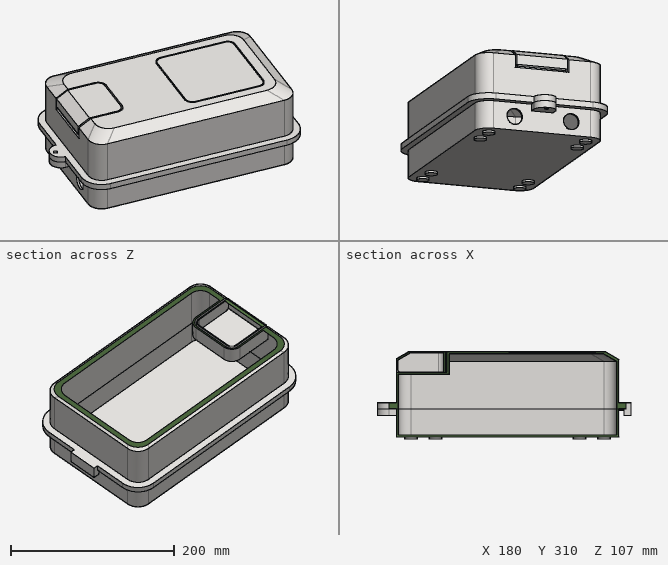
import cadquery as cq
import math

body_width = 162.0
body_length = 272.0
corner_radius = 18.0
wall = 2.7
front_y = -body_length / 2
back_y = body_length / 2

foot_height = 2.5
total_height = 107.01
base_height = 34.7
top_z = total_height - foot_height
slope_angle = math.radians(30)
slope_run = 16.0
slope_rise = slope_run * math.tan(slope_angle)
shoulder_z = top_z - slope_rise

flange_overhang = 9.0
flange_thickness = 7.5
flange_front_y = front_y - flange_overhang
flange_back_y = back_y + flange_overhang
lug_radius = 14.0
lug_hole_diameter = 5.0
lug_hole_offset = 7.0
lug_base_thickness = 8.5
hinge_width = 40.0
hinge_projection = 6.0
hook_thickness = 8.75
hook_drop = 8.5
hook_back_y = flange_back_y + hinge_projection
hook_front_y = hook_back_y - hook_thickness
tongue_thickness = 2.0

foot_diameter = 15.5
foot_x = body_width / 2 - corner_radius
foot_y_outer = body_length / 2 - corner_radius
foot_spacing = 30.0
foot_y_inner = foot_y_outer - foot_spacing
cable_hole_diameter = 20.0
cable_hole_spacing = 73.5
cable_hole_shift = 1.1
cable_hole_z = 17.5

recess_width = 106.0
recess_length = 105.0
recess_radius = 10.0
recess_depth = 1.5
window_gap = 1.0
window_y = 54.5
window_width = recess_width - 2 * window_gap
window_length = recess_length - 2 * window_gap
window_radius = recess_radius - window_gap

pocket_width = 70.0
pocket_length = 62.5
pocket_radius = 11.0
pocket_depth = 25.0
pocket_floor_z = top_z - pocket_depth
pocket_back_y = front_y + pocket_length
flap_gap = 2.0
flap_width = pocket_width - 2 * flap_gap
flap_back_y = pocket_back_y - flap_gap
flap_radius = pocket_radius - flap_gap
flap_wall = 1.8
finger_bevel = 4.0
flap_slope_run = 15.0
flap_slope_rise = flap_slope_run * math.tan(slope_angle)


def rounded_block(width, length, radius, bottom, top, center_y=0.0):
    """Upright block with rounded vertical edges."""
    return (
        cq.Workplane("XY", origin=(0, center_y, bottom))
        .rect(width, length)
        .extrude(top - bottom)
        .edges("|Z")
        .fillet(radius)
    )


def straight_block(width, start_y, end_y, bottom, top):
    """Square-cornered block centred on X = 0."""
    return (
        cq.Workplane("XY", origin=(0, (start_y + end_y) / 2, bottom))
        .rect(width, end_y - start_y)
        .extrude(top - bottom)
    )


def cylinder(diameter, x, y, bottom, top):
    """Upright cylinder."""
    return cq.Workplane("XY", origin=(x, y, bottom)).circle(diameter / 2).extrude(top - bottom)


def tapered_shell_form(inset, bottom):
    """Rounded block with a sloped top border whose corners keep their radius; inset gives the cavity."""
    width = body_width - 2 * inset
    length = body_length - 2 * inset
    radius = corner_radius - inset
    shoulder = shoulder_z - inset
    lower = cq.Sketch().rect(width, length).vertices().fillet(radius)
    upper = cq.Sketch().rect(width - 2 * slope_run, length - 2 * slope_run).vertices().fillet(radius)
    border = (
        cq.Workplane("XY", origin=(0, 0, shoulder))
        .placeSketch(lower, upper.moved(cq.Location(cq.Vector(0, 0, slope_rise))))
        .loft(ruled=True)
    )
    return rounded_block(width, length, radius, bottom, shoulder).union(border)


def open_front_block(width, start_y, rear_y, radius, bottom, top):
    """Block from start_y back to rear_y, with only its two rear corners rounded."""
    return straight_block(width, start_y, rear_y, bottom, top).edges("|Z and >Y").fillet(radius)


def lug(inner_y, bottom, top):
    """Tongue reaching forward from inner_y and ending in a half disc on the flange edge."""
    tongue = straight_block(2 * lug_radius, flange_front_y, inner_y, bottom, top)
    return tongue.union(cylinder(2 * lug_radius, 0, flange_front_y, bottom, top))


def lug_hole():
    """Hole for the seal, running through both lugs."""
    return cylinder(
        lug_hole_diameter, 0, flange_front_y - lug_hole_offset, 0, base_height + flange_thickness
    )


def make_base():
    """Open-topped tray with feet, cable entries, lock lug and hinge tongue."""
    base = rounded_block(body_width, body_length, corner_radius, 0, base_height)
    base = base.union(lug(front_y + wall, base_height - lug_base_thickness, base_height))
    base = base.union(
        straight_block(
            hinge_width, back_y - wall, hook_front_y, base_height - tongue_thickness, base_height
        )
    )
    for x in (-foot_x, foot_x):
        for y in (-foot_y_outer, -foot_y_inner, foot_y_inner, foot_y_outer):
            base = base.union(cylinder(foot_diameter, x, y, -foot_height, 0))
    cavity = rounded_block(
        body_width - 2 * wall, body_length - 2 * wall, corner_radius - wall, wall, base_height
    )
    base = base.cut(cavity).cut(lug_hole())
    cable_holes = (
        cq.Workplane("XZ", origin=(0, front_y, cable_hole_z))
        .center(cable_hole_shift, 0)
        .rarray(cable_hole_spacing, 1, 2, 1)
        .circle(cable_hole_diameter / 2)
        .extrude(-wall)
    )
    return base.cut(cable_holes)


def make_cover():
    """Hollow lid with flange, lock lug, hinge hook, window recess and flap pocket."""
    flange_top = base_height + flange_thickness
    cover = tapered_shell_form(0, base_height)
    cover = cover.union(
        rounded_block(
            body_width + 2 * flange_overhang,
            body_length + 2 * flange_overhang,
            corner_radius + flange_overhang,
            base_height,
            flange_top,
        )
    )
    cover = cover.union(lug(front_y, base_height, flange_top))
    cover = cover.union(straight_block(hinge_width, hook_front_y, hook_back_y, base_height, flange_top))
    cover = cover.union(
        straight_block(hinge_width, hook_front_y, hook_back_y, base_height - hook_drop, base_height)
    )

    pocket_casing = open_front_block(
        pocket_width + 2 * wall,
        front_y,
        pocket_back_y + wall,
        pocket_radius + wall,
        pocket_floor_z - wall,
        top_z,
    )
    cover = cover.cut(tapered_shell_form(wall, base_height).cut(pocket_casing))
    cover = cover.cut(
        open_front_block(pocket_width, front_y, pocket_back_y, pocket_radius, pocket_floor_z, top_z)
    )
    recess = rounded_block(
        recess_width, recess_length, recess_radius, top_z - recess_depth, top_z, window_y
    )
    return cover.cut(recess).cut(lug_hole())


def make_window():
    """Flush pane standing on the recess floor with a narrow groove around it."""
    return rounded_block(
        window_width, window_length, window_radius, top_z - recess_depth, top_z, window_y
    )


def corner_wedge(corner_y, corner_z, run, rise):
    """Triangular bar along X that removes a front edge; a negative rise extends down from the corner."""
    return (
        cq.Workplane("YZ", origin=(-flap_width / 2, 0, 0))
        .moveTo(corner_y, corner_z)
        .lineTo(corner_y + run, corner_z)
        .lineTo(corner_y, corner_z + rise)
        .close()
        .extrude(flap_width)
    )


def flap_form(inset):
    """Flap outline with its sloped front edge; inset gives the hollow inside."""
    top = top_z - inset
    start_y = front_y + inset
    block = open_front_block(
        flap_width - 2 * inset, start_y, flap_back_y - inset, flap_radius - inset, pocket_floor_z, top
    )
    return block.cut(corner_wedge(start_y, top, flap_slope_run, -flap_slope_rise))


def make_flap():
    """Shell standing on the pocket floor, bevelled at the bottom of its front as a finger grip."""
    grip = corner_wedge(front_y, pocket_floor_z, finger_bevel, finger_bevel)
    return flap_form(0).cut(flap_form(flap_wall)).cut(grip)


base = make_base()
cover = make_cover()
window = make_window()
flap = make_flap()

result = cq.Compound.makeCompound([body.solids().val() for body in (base, cover, window, flap)])